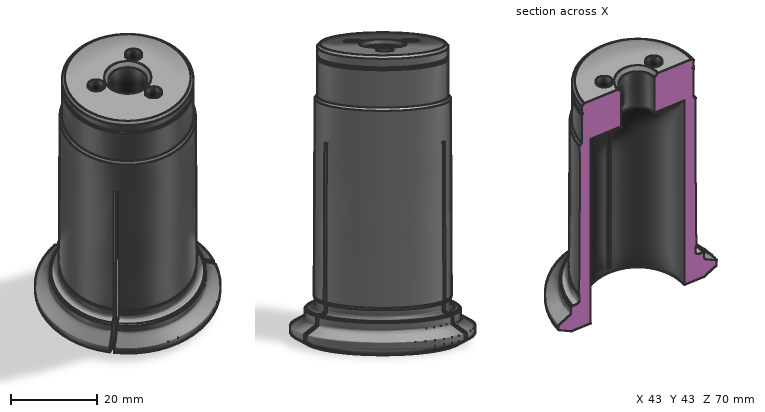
import cadquery as cq
import math

total_height = 70.0
flange_rim_bottom = 2.02
flange_rim_top = 3.66
collar_top = 8.0
body_bottom = 10.2
neck_bottom = 57.8
groove_height = 66.95

flange_radius = 43.0 / 2
collar_radius = 36.2 / 2
relief_radius = 31.6 / 2
body_bottom_radius = 32.0 / 2
body_top_radius = 31.6 / 2
neck_radius = 30.5 / 2

cone_angle = math.radians(30)
cone_slope = math.tan(cone_angle)
collar_chamfer = 0.4
collar_fillet = 0.5
rim_bottom_fillet = 0.5
rim_top_fillet = 0.3
relief_fillet = 0.85
body_edge_height = 0.6
shoulder_height = 0.65
top_chamfer = 0.7
groove_depth = 0.35

bore_radius = 25.4 / 2
bore_top = neck_bottom
screw_hole_radius = 8.92 / 2
screw_hole_chamfer = 1.0
pin_hole_radius = 4.0 / 2
pin_circle_radius = 7.75
pin_hole_count = 3

slot_count = 3
slot_first_angle = 180.0
slot_width = 1.1
slot_top_at_bore = 45.65
slot_bottom_at_bore = 1.2
slot_end_slope = math.tan(math.radians(40))

cutter_overlap = 1.0


def revolve_about_axis(profile):
    """Turn a closed (radius, height) profile around the Z axis."""
    return profile.close().revolve(360, (0, 0, 0), (0, 1, 0))


def rounded_corner(profile, radius, height, fillet, start, end):
    """Round the profile corner at (radius, height) between the unit directions start and end.

    Every rounded corner joins an upright wall to a flange cone, so all turn by the same angle.
    """
    corner_turn = math.pi / 2 - cone_angle
    tangent = fillet * math.tan(corner_turn / 2)
    first = (radius - tangent * start[0], height - tangent * start[1])
    last = (radius + tangent * end[0], height + tangent * end[1])
    return profile.lineTo(*first).tangentArcPoint(last, relative=False)


def make_outside():
    """Solid of revolution with the flange, collar, body, neck and grooves."""
    flange_bottom_radius = flange_radius - flange_rim_bottom / cone_slope
    cone_top = flange_rim_top + (flange_radius - collar_radius) * cone_slope
    up = (0.0, 1.0)
    outward = (math.cos(cone_angle), math.sin(cone_angle))
    inward = (-outward[0], outward[1])

    profile = cq.Workplane("XZ").moveTo(0, 0).lineTo(flange_bottom_radius, 0)
    profile = rounded_corner(profile, flange_radius, flange_rim_bottom, rim_bottom_fillet, outward, up)
    profile = rounded_corner(profile, flange_radius, flange_rim_top, rim_top_fillet, up, inward)
    profile = rounded_corner(profile, collar_radius, cone_top, collar_fillet, inward, up)
    profile = (
        profile.lineTo(collar_radius, collar_top - collar_chamfer)
        .lineTo(collar_radius - collar_chamfer, collar_top)
        .lineTo(relief_radius + relief_fillet, collar_top)
        .radiusArc((relief_radius, collar_top + relief_fillet), relief_fillet)
        .lineTo(relief_radius, body_bottom)
        .lineTo(body_bottom_radius, body_bottom + body_edge_height)
        .lineTo(body_top_radius, neck_bottom - shoulder_height)
        .lineTo(neck_radius, neck_bottom)
        .lineTo(neck_radius, groove_height - groove_depth)
        .lineTo(neck_radius - groove_depth, groove_height)
        .lineTo(neck_radius, groove_height + groove_depth)
        .lineTo(neck_radius, total_height - top_chamfer)
        .lineTo(neck_radius - top_chamfer, total_height)
        .lineTo(0, total_height)
    )
    return revolve_about_axis(profile)


def make_bore():
    """Large blind bore from below, plus the chamfered screw hole through the end wall."""
    bore = cq.Workplane("XY").circle(bore_radius).extrude(bore_top)
    chamfer_start = total_height - screw_hole_chamfer
    screw_hole = (
        cq.Workplane("XZ")
        .lineTo(screw_hole_radius, 0)
        .lineTo(screw_hole_radius, chamfer_start)
        .lineTo(screw_hole_radius + screw_hole_chamfer, total_height)
        .lineTo(0, total_height)
    )
    return bore.union(revolve_about_axis(screw_hole))


def make_pin_holes():
    """Holes through the end wall, opposite the slots."""
    return (
        cq.Workplane("XY")
        .polarArray(pin_circle_radius, 0, 360, pin_hole_count)
        .circle(pin_hole_radius)
        .extrude(total_height)
    )


def make_slot():
    """Radial slot cutter along +X whose two sloping ends run out through the wall."""
    outer = flange_radius + cutter_overlap
    inner = bore_radius - cutter_overlap
    outer_rise = (outer - bore_radius) * slot_end_slope
    inner_drop = cutter_overlap * slot_end_slope
    return (
        cq.Workplane("XZ")
        .moveTo(inner, slot_bottom_at_bore + inner_drop)
        .lineTo(outer, slot_bottom_at_bore - outer_rise)
        .lineTo(outer, slot_top_at_bore + outer_rise)
        .lineTo(inner, slot_top_at_bore - inner_drop)
        .close()
        .extrude(slot_width / 2, both=True)
    )


result = make_outside().cut(make_bore()).cut(make_pin_holes())
slot = make_slot()
for index in range(slot_count):
    angle = slot_first_angle + index * 360 / slot_count
    result = result.cut(slot.rotate((0, 0, 0), (0, 0, 1), angle))